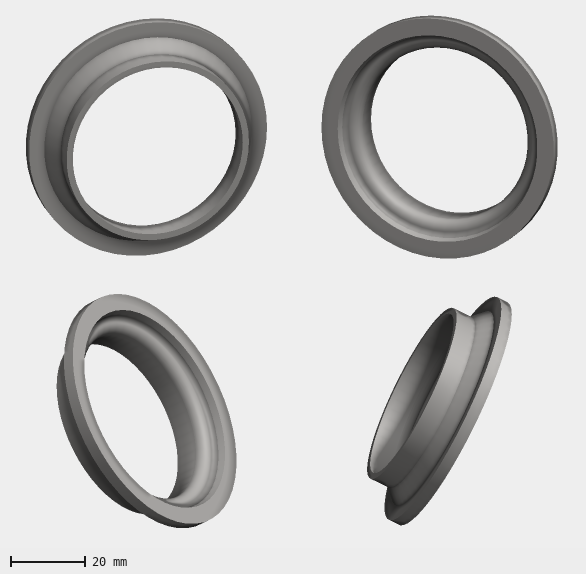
import cadquery as cq
import math

flange_radius = 33.35
flange_thickness = 3.2
cone_radius = 29.1
hub_radius = 51.1 / 2
hub_start = 7.0
total_length = 12.7

bore_radius = 47.6 / 2
seat_mouth_radius = 28.7
seat_inner_radius = 28.1
seat_depth = 1.9
shoulder_radius = 26.7

fillet_radius = seat_inner_radius - shoulder_radius
shoulder_depth = seat_depth + fillet_radius
lip_rounding = shoulder_radius - bore_radius
bore_start = shoulder_depth + lip_rounding

diagonal = math.sqrt(0.5)
fillet_middle = (
    seat_depth + fillet_radius * diagonal,
    shoulder_radius + fillet_radius * diagonal,
)
lip_middle = (
    bore_start - lip_rounding * diagonal,
    shoulder_radius - lip_rounding * diagonal,
)

section = (
    cq.Workplane("XY")
    .moveTo(0, seat_mouth_radius)
    .lineTo(seat_depth, seat_inner_radius)
    .threePointArc(fillet_middle, (shoulder_depth, shoulder_radius))
    .threePointArc(lip_middle, (bore_start, bore_radius))
    .lineTo(total_length, bore_radius)
    .lineTo(total_length, hub_radius)
    .lineTo(hub_start, hub_radius)
    .lineTo(flange_thickness, cone_radius)
    .lineTo(flange_thickness, flange_radius)
    .lineTo(0, flange_radius)
    .close()
)
result = section.revolve(360, (0, 0, 0), (1, 0, 0))